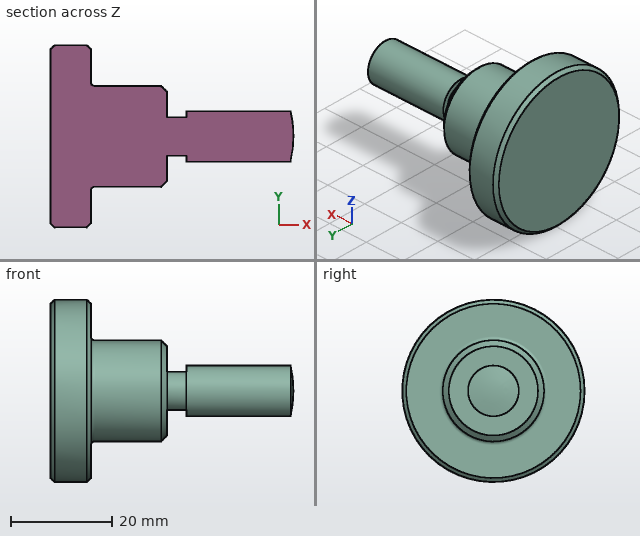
import cadquery as cq
import math

total_length = 47.95
head_end = 8.0
hub_end = 23.0
neck_end = 26.8
dome_height = 0.58

head_diameter = 36.0
head_radius = head_diameter / 2
hub_diameter = 20.0
hub_radius = hub_diameter / 2
neck_diameter = 7.6
neck_radius = neck_diameter / 2
shank_diameter = 10.0
shank_radius = shank_diameter / 2

head_chamfer = 0.8
hub_chamfer = 1.2
hub_root_fillet = 0.7

dome_start = total_length - dome_height
dome_sphere_radius = (shank_radius**2 + dome_height**2) / (2 * dome_height)
dome_mid_radius = shank_radius / 2
dome_center_x = total_length - dome_sphere_radius
dome_mid_x = dome_center_x + math.sqrt(dome_sphere_radius**2 - dome_mid_radius**2)

profile = (
    cq.Workplane("XY")
    .moveTo(0, 0)
    .lineTo(0, head_radius - head_chamfer)
    .lineTo(head_chamfer, head_radius)
    .lineTo(head_end - head_chamfer, head_radius)
    .lineTo(head_end, head_radius - head_chamfer)
    .lineTo(head_end, hub_radius + hub_root_fillet)
    .radiusArc((head_end + hub_root_fillet, hub_radius), -hub_root_fillet)
    .lineTo(hub_end - hub_chamfer, hub_radius)
    .lineTo(hub_end, hub_radius - hub_chamfer)
    .lineTo(hub_end, neck_radius)
    .lineTo(neck_end, neck_radius)
    .lineTo(neck_end, shank_radius)
    .lineTo(dome_start, shank_radius)
    .threePointArc((dome_mid_x, dome_mid_radius), (total_length, 0))
    .close()
)

result = profile.revolve(360, (0, 0, 0), (1, 0, 0))